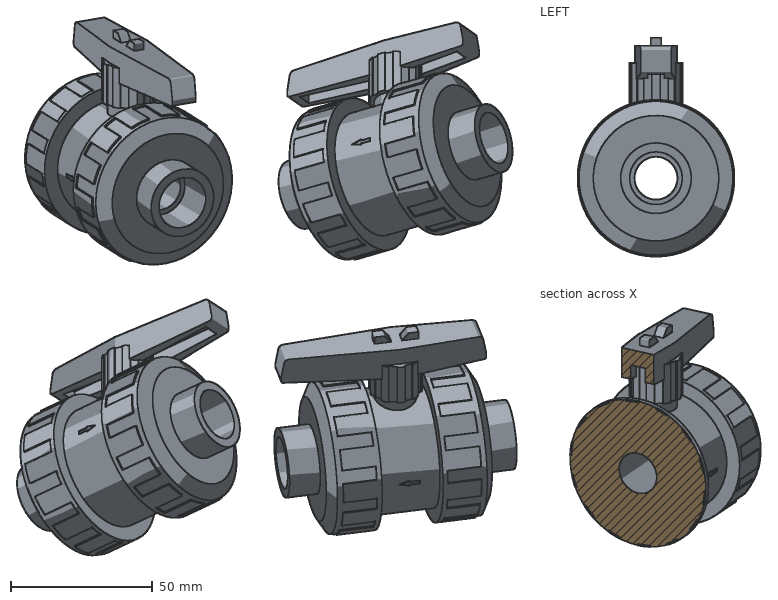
import cadquery as cq
import math


overall_length = 83.75

pipe_half_length = 41.2
pipe_radius = 12.5
socket_radius = 9.3
socket_depth = 15.9
bore_radius = 7.5
body_radius = 22.5

nut_outer_x = 30.1
nut_inner_x = 11.05
nut_base_radius = 27.2
nut_face_radius = 22.2
nut_chamfer_length = 2.9
pad_diameter = 55.5
pad_radius = pad_diameter / 2
pad_outer_x = 25.0
gap_inner_x = 12.8
pad_count = 14
pad_pitch = 360 / pad_count
pad_angle = 15.4
first_pad_angle = 5.0

stem_radius = 7.5
collar_radius = 9.55
collar_bottom = 25.8
collar_top = 40.8
flute_count = 10
flute_pitch = 360 / flute_count
flute_floor_radius = 8.9
flute_width = 2 * collar_radius * math.sin(math.radians(flute_pitch / 4))

handle_left = -31.7
handle_right = overall_length - pipe_half_length
handle_top = 46.9
handle_middle_bottom = 34.7
handle_end_bottom = 37.1
handle_knee = 39.3
handle_end_draft = 10
handle_half_width = 7.45
handle_taper = 0.065
handle_top_fillet = 2.0
handle_bottom_fillet = 1.0
groove_width = 5.9
groove_end_wall = 4.2

tab_inner_x = 1.9
tab_slope_x = 4.35
tab_outer_x = 8.0
tab_top = 49.75
tab_width = 3.85
tab_fillet = 0.4

arrow_half_length = 3.8
arrow_head_base = 0.0
arrow_shaft_half = 0.6
arrow_head_half = 1.0
arrow_height = 0.25


def cylinder_x(radius, x_start, x_end):
    return cq.Workplane("YZ", origin=(x_start, 0, 0)).circle(radius).extrude(x_end - x_start)


def make_nut():
    """Union nut on the -X side: chamfered core inside a grip ring cut into raised pads."""
    chamfer_x = nut_outer_x - nut_chamfer_length
    core_profile = [
        (-nut_outer_x, 0),
        (-nut_outer_x, nut_face_radius),
        (-chamfer_x, nut_base_radius),
        (-nut_inner_x, nut_base_radius),
        (-nut_inner_x, 0),
    ]
    core = cq.Workplane("XY").polyline(core_profile).close().revolve(360, (0, 0, 0), (1, 0, 0))

    ring = cylinder_x(pad_radius, -pad_outer_x, -nut_inner_x)
    half_gap = math.radians((pad_pitch - pad_angle) / 2)
    wedge_reach = 2 * pad_radius
    wedge_profile = [
        (0, 0),
        (-wedge_reach * math.cos(half_gap), -wedge_reach * math.sin(half_gap)),
        (-wedge_reach * math.cos(half_gap), wedge_reach * math.sin(half_gap)),
    ]
    wedge = cq.Workplane("YZ", origin=(-pad_outer_x, 0, 0)).polyline(wedge_profile).close()
    wedge = wedge.extrude(pad_outer_x - gap_inner_x)
    first_gap_angle = first_pad_angle + pad_pitch / 2
    for i in range(pad_count):
        ring = ring.cut(wedge.rotate((0, 0, 0), (1, 0, 0), -first_gap_angle - i * pad_pitch))
    return core.union(ring)


def make_stem():
    """Stem with a collar that has flat-bottomed flutes all round."""
    stem = cq.Workplane("XY").circle(stem_radius).extrude(collar_top)
    height = collar_top - collar_bottom
    collar = cq.Workplane("XY", origin=(0, 0, collar_bottom)).circle(collar_radius).extrude(height)
    flute_depth = collar_radius - flute_floor_radius
    flute = (
        cq.Workplane("XY", origin=(flute_floor_radius + flute_depth, 0, collar_bottom))
        .rect(2 * flute_depth, flute_width)
        .extrude(height)
    )
    for i in range(flute_count):
        collar = collar.cut(flute.rotate((0, 0, 0), (0, 0, 1), i * flute_pitch))
    return stem.union(collar)


def make_handle():
    """Lever that narrows towards both ends and is grooved along its underside."""
    draft_run = (handle_top - handle_knee) * math.tan(math.radians(handle_end_draft))
    side = [
        (handle_left, handle_end_bottom),
        (handle_left, handle_knee),
        (handle_left + draft_run, handle_top),
        (handle_right - draft_run, handle_top),
        (handle_right, handle_knee),
        (handle_right, handle_end_bottom),
        (0, handle_middle_bottom),
    ]
    lever = cq.Workplane("XZ").polyline(side).close().extrude(handle_half_width, both=True)
    for x_end in (handle_left, handle_right):
        inward = -math.copysign(draft_run, x_end)
        top_edge = cq.selectors.NearestToPointSelector((x_end + inward, 0, handle_top))
        lever = lever.edges(top_edge).fillet(handle_top_fillet)
        bottom_edge = cq.selectors.NearestToPointSelector((x_end, 0, handle_end_bottom))
        lever = lever.edges(bottom_edge).fillet(handle_bottom_fillet)

    left_half_width = handle_half_width + handle_taper * handle_left
    right_half_width = handle_half_width - handle_taper * handle_right
    plan = [
        (handle_left, -left_half_width),
        (0, -handle_half_width),
        (handle_right, -right_half_width),
        (handle_right, right_half_width),
        (0, handle_half_width),
        (handle_left, left_half_width),
    ]
    lever = lever.intersect(cq.Workplane("XY").polyline(plan).close().extrude(handle_top))

    groove_left = handle_left + groove_end_wall
    groove_length = handle_right - handle_left - 2 * groove_end_wall
    groove = cq.Workplane("XY", origin=(groove_left, 0, 0)).box(
        groove_length, groove_width, collar_top, centered=(False, True, False)
    )
    return lever.cut(groove)


def make_tab():
    """Indicator tab on the +X side, sloping down towards the stem axis."""
    profile = [
        (tab_inner_x, handle_top),
        (tab_slope_x, tab_top),
        (tab_outer_x, tab_top),
        (tab_outer_x, handle_top),
    ]
    tab = cq.Workplane("XZ").polyline(profile).close().extrude(tab_width / 2, both=True)
    return tab.faces(">Z").edges("|Y").fillet(tab_fillet)


def make_arrows():
    """Raised flow arrows pointing to +X on the front and back of the body."""
    outline = [
        (-arrow_half_length, -arrow_shaft_half),
        (arrow_head_base, -arrow_shaft_half),
        (arrow_head_base, -arrow_head_half),
        (arrow_half_length, 0),
        (arrow_head_base, arrow_head_half),
        (arrow_head_base, arrow_shaft_half),
        (-arrow_half_length, arrow_shaft_half),
    ]
    prism = cq.Workplane("XZ").polyline(outline).close().extrude(pad_radius, both=True)
    return prism.intersect(cylinder_x(body_radius + arrow_height, -nut_inner_x, nut_inner_x))


nut = make_nut()
tab = make_tab()

result = (
    cylinder_x(pipe_radius, -pipe_half_length, pipe_half_length)
    .union(cylinder_x(body_radius, -nut_inner_x, nut_inner_x))
    .union(nut)
    .union(nut.rotate((0, 0, 0), (0, 0, 1), 180))
    .union(make_arrows())
    .union(make_stem())
    .union(make_handle())
    .union(tab)
    .union(tab.mirror("YZ"))
    .cut(cylinder_x(bore_radius, -pipe_half_length, pipe_half_length))
    .cut(cylinder_x(socket_radius, -pipe_half_length, -pipe_half_length + socket_depth))
    .cut(cylinder_x(socket_radius, pipe_half_length - socket_depth, pipe_half_length))
)